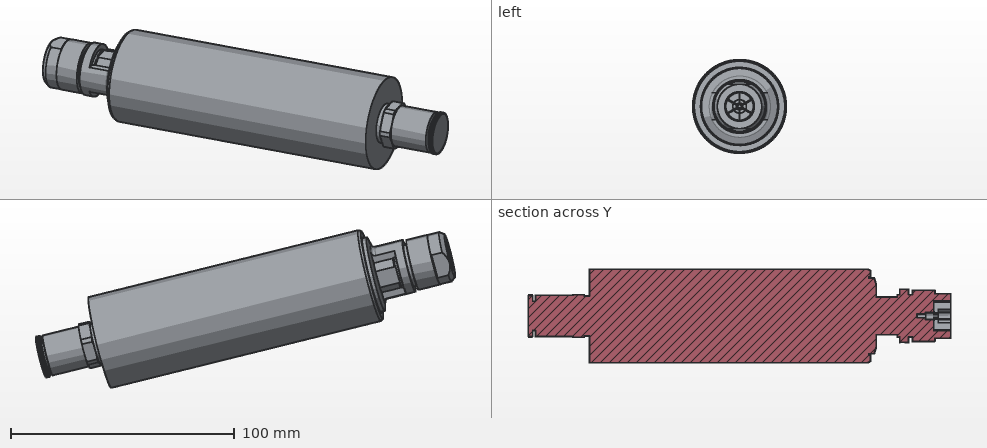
import cadquery as cq
import math

TOTAL_LENGTH = 188.9

NUT_HEAD_DIAMETER = 22.9
NUT_DIAMETER = 23.0
NUT_FACE_DIAMETER = 19.8
NUT_CHAMFER = 2.0
NUT_FLATS_WIDTH = 20.0
NUT_FLATS_LENGTH = 7.0
NUT_RIM_CHAMFER = 0.4
NUT_END = 17.2

NUT_BORE_DIAMETER = 13.2
COLLET_DIAMETER = 12.3
COLLET_DEPTH = 7.5
COLLET_BORE_DIAMETER = 6.0
BORE_DEPTH = 5.7
PIN_HOLE_DIAMETER = 3.0
PIN_HOLE_DEPTH = 11.3
PILOT_HOLE_DIAMETER = 1.6
PILOT_HOLE_DEPTH = 15.1
SLIT_WIDTH = 0.4
SLIT_COUNT = 6

GROOVE_DIAMETER = 19.0
SHAFT_DIAMETER = 18.7
SHAFT_TAPER_LENGTH = 0.5
SLEEVE_DIAMETER = 24.0
SLEEVE_START = 18.9
SLEEVE_FLANK_START = 22.9
SLEEVE_FLANK_HEIGHT = 12.0
SHAFT_FLATS_START = 24.0
SHAFT_FLATS_WIDTH = 17.0

CAP_START = 33.2
CAP_FILLET = 1.7
CAP_CONE_END = 34.2
CAP_DIAMETER = 34.0
CAP_RECESS_DIAMETER = 35.0
CAP_RECESS_DEPTH = 0.8

BODY_START = 35.9
BODY_END = 161.5
BODY_DIAMETER = 42.0
BODY_CHAMFER_LENGTH = 1.1
BODY_CHAMFER_HEIGHT = 0.8

FITTING_NECK_DIAMETER = 18.0
FITTING_DIAMETER = 18.5
FITTING_END = 185.7
HEX_START = 163.8
HEX_END = 168.9
HEX_WIDTH = 19.0
HEX_CORNER_WIDTH = 20.8
HEX_FACE_DIAMETER = 19.5
HEX_CHAMFER = 0.5
RELEASE_NECK_DIAMETER = 13.2
RELEASE_RING_DIAMETER = 19.0
RELEASE_RING_START = 186.8
RELEASE_RING_COUNT = 2
RELEASE_RING_CHAMFER_LENGTH = 0.4
RELEASE_RING_HEIGHT = 0.5


def cylinder(start, end, diameter):
    return cq.Workplane("YZ", origin=(start, 0, 0)).circle(diameter / 2).extrude(end - start)


def revolved(profile):
    """Solid of revolution about X from (x, radius) points, closed along the axis."""
    start, end = profile[0][0], profile[-1][0]
    points = [(start, 0)] + profile + [(end, 0)]
    return cq.Workplane("XY").polyline(points).close().revolve(360, (0, 0, 0), (1, 0, 0))


def flats(start, end, width):
    """Slab between two flats that face +Z and -Z."""
    length = end - start
    slab_span = 2 * BODY_DIAMETER
    return cq.Workplane("XY", origin=(start + length / 2, 0, 0)).box(length, slab_span, width)


def hexagon(start, end, width, turn):
    """Hexagonal bar along X; with no turn, two corners point along Y."""
    circumscribed = width / math.cos(math.pi / 6)
    bar = cq.Workplane("YZ", origin=(start, 0, 0)).polygon(6, circumscribed).extrude(end - start)
    return bar.rotate((0, 0, 0), (1, 0, 0), turn)


def clamping_nut():
    rim_end = NUT_FLATS_LENGTH + NUT_RIM_CHAMFER
    head = revolved([
        (0, NUT_FACE_DIAMETER / 2),
        (NUT_CHAMFER, NUT_HEAD_DIAMETER / 2),
        (rim_end, NUT_HEAD_DIAMETER / 2),
    ]).intersect(flats(0, rim_end, NUT_FLATS_WIDTH))
    barrel = revolved([
        (NUT_FLATS_LENGTH, NUT_DIAMETER / 2 - NUT_RIM_CHAMFER),
        (rim_end, NUT_DIAMETER / 2),
        (NUT_END, NUT_DIAMETER / 2),
    ])
    return head.union(barrel)


def collet_cuts():
    """Gap around the collet, its slits and its stepped bore."""
    cuts = cylinder(0, COLLET_DEPTH, NUT_BORE_DIAMETER).cut(cylinder(0, COLLET_DEPTH, COLLET_DIAMETER))
    slit = cq.Workplane("XY").box(
        COLLET_DEPTH, SLIT_WIDTH, NUT_BORE_DIAMETER / 2, centered=(False, True, False)
    )
    slit = slit.intersect(cylinder(0, COLLET_DEPTH, NUT_BORE_DIAMETER))
    for index in range(SLIT_COUNT):
        cuts = cuts.union(slit.rotate((0, 0, 0), (1, 0, 0), index * 360 / SLIT_COUNT))
    cuts = cuts.union(cylinder(0, BORE_DEPTH, COLLET_BORE_DIAMETER))
    cuts = cuts.union(cylinder(0, PIN_HOLE_DEPTH, PIN_HOLE_DIAMETER))
    return cuts.union(cylinder(0, PILOT_HOLE_DEPTH, PILOT_HOLE_DIAMETER))


def shaft():
    round_part = cylinder(NUT_END, SHAFT_FLATS_START, GROOVE_DIAMETER)
    flatted_part = revolved([
        (SHAFT_FLATS_START, GROOVE_DIAMETER / 2),
        (SHAFT_FLATS_START + SHAFT_TAPER_LENGTH, SHAFT_DIAMETER / 2),
        (CAP_START, SHAFT_DIAMETER / 2),
    ]).intersect(flats(SHAFT_FLATS_START, CAP_START, SHAFT_FLATS_WIDTH))
    return round_part.union(flatted_part)


def sleeve():
    """Collar whose two side legs run back and flare into the cap."""
    radius = SLEEVE_DIAMETER / 2
    flare_start = CAP_START - CAP_FILLET
    flare_mid = CAP_FILLET * math.sqrt(0.5)
    full_sleeve = (
        cq.Workplane("XY")
        .moveTo(SLEEVE_START, 0)
        .lineTo(SLEEVE_START, radius)
        .lineTo(flare_start, radius)
        .threePointArc(
            (flare_start + flare_mid, radius + CAP_FILLET - flare_mid),
            (CAP_START, radius + CAP_FILLET),
        )
        .lineTo(CAP_START, 0)
        .close()
        .revolve(360, (0, 0, 0), (1, 0, 0))
    )
    flank_waste = cylinder(SLEEVE_FLANK_START, CAP_START, BODY_DIAMETER).cut(
        flats(SLEEVE_FLANK_START, CAP_START, SLEEVE_FLANK_HEIGHT)
    )
    return full_sleeve.cut(flank_waste)


def body():
    radius = BODY_DIAMETER / 2
    barrel = revolved([
        (BODY_START, radius - BODY_CHAMFER_HEIGHT),
        (BODY_START + BODY_CHAMFER_LENGTH, radius),
        (BODY_END, radius),
    ])
    recess_end = BODY_START + CAP_RECESS_DEPTH
    barrel = barrel.cut(cylinder(BODY_START, recess_end, CAP_RECESS_DIAMETER))
    cap = revolved([
        (CAP_START, SLEEVE_DIAMETER / 2 + CAP_FILLET),
        (CAP_CONE_END, CAP_DIAMETER / 2),
        (recess_end, CAP_DIAMETER / 2),
    ])
    return barrel.union(cap)


def fitting_hex():
    """Hexagon with flattened corners and both rims chamfered by a cone."""
    cone_radius = HEX_CORNER_WIDTH / math.sqrt(3)
    envelope = revolved([
        (HEX_START, HEX_FACE_DIAMETER / 2),
        (HEX_START + HEX_CHAMFER, cone_radius),
        (HEX_END - HEX_CHAMFER, cone_radius),
        (HEX_END, HEX_FACE_DIAMETER / 2),
    ])
    bar = hexagon(HEX_START, HEX_END, HEX_WIDTH, 0)
    corner_trim = hexagon(HEX_START, HEX_END, HEX_CORNER_WIDTH, 30)
    return bar.intersect(corner_trim).intersect(envelope)


def release_rings():
    length = (TOTAL_LENGTH - RELEASE_RING_START) / RELEASE_RING_COUNT
    crest = RELEASE_RING_DIAMETER / 2
    root = crest - RELEASE_RING_HEIGHT
    profile = [(RELEASE_RING_START, root)]
    for index in range(RELEASE_RING_COUNT):
        start = RELEASE_RING_START + index * length
        end = start + length
        profile += [
            (start + RELEASE_RING_CHAMFER_LENGTH, crest),
            (end - RELEASE_RING_CHAMFER_LENGTH, crest),
            (end, root),
        ]
    return revolved(profile)


def air_fitting():
    neck = cylinder(BODY_END, HEX_START, FITTING_NECK_DIAMETER)
    barrel = cylinder(HEX_END, FITTING_END, FITTING_DIAMETER)
    release_neck = cylinder(FITTING_END, RELEASE_RING_START, RELEASE_NECK_DIAMETER)
    return neck.union(fitting_hex()).union(barrel).union(release_neck).union(release_rings())


result = (
    clamping_nut()
    .union(shaft())
    .union(sleeve())
    .union(body())
    .union(air_fitting())
    .cut(collet_cuts())
)